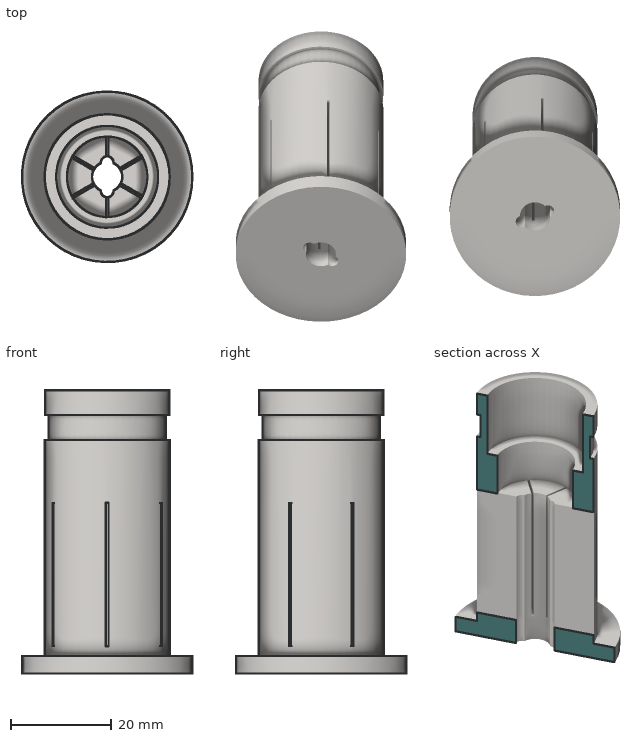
import cadquery as cq

total_height = 56.5
flange_radius = 17.0
flange_height = 3.5
body_radius = 12.5

collar_height = 5.0
collar_radius = 12.45
groove_height = collar_height
groove_radius = 11.75

mouth_radius = 10.15
mouth_depth = 13.55
pocket_radius = 8.0
through_radius = 3.0

keyway_radius = 1.25
keyway_offset = 2.8

slot_count = 6
slot_width = 0.5
slot_bottom = 5.5
slot_top = 34.0
pocket_floor = slot_top


def turned_body():
    """Flanged sleeve with a groove below the top collar."""
    groove_top = total_height - collar_height
    groove_bottom = groove_top - groove_height
    half_profile = [
        (0, 0),
        (flange_radius, 0),
        (flange_radius, flange_height),
        (body_radius, flange_height),
        (body_radius, groove_bottom),
        (groove_radius, groove_bottom),
        (groove_radius, groove_top),
        (collar_radius, groove_top),
        (collar_radius, total_height),
        (0, total_height),
    ]
    return cq.Workplane("XZ").polyline(half_profile).close().revolve(360, (0, 0), (0, 1))


def cylinder(radius, bottom, top):
    """Upright cylinder on the sleeve axis."""
    return cq.Workplane("XY").workplane(offset=bottom).circle(radius).extrude(top - bottom)


def stepped_bore():
    """Wide mouth, narrower pocket and through bore."""
    mouth = cylinder(mouth_radius, total_height - mouth_depth, total_height)
    pocket = cylinder(pocket_radius, pocket_floor, total_height)
    through = cylinder(through_radius, 0, total_height)
    return mouth.union(pocket).union(through)


def keyways():
    """Two round grooves along the front and back of the through bore."""
    return (
        cq.Workplane("XY")
        .pushPoints([(0, keyway_offset), (0, -keyway_offset)])
        .circle(keyway_radius)
        .extrude(pocket_floor)
    )


def radial_slot(angle):
    """Narrow slot from the axis out through the wall; angle 0 points along +Y."""
    return (
        cq.Workplane("XY")
        .box(slot_width, flange_radius, slot_top - slot_bottom, centered=(True, False, False))
        .translate((0, 0, slot_bottom))
        .rotate((0, 0, 0), (0, 0, 1), angle)
    )


result = turned_body().cut(stepped_bore()).cut(keyways())
for index in range(slot_count):
    result = result.cut(radial_slot(index * 360 / slot_count))